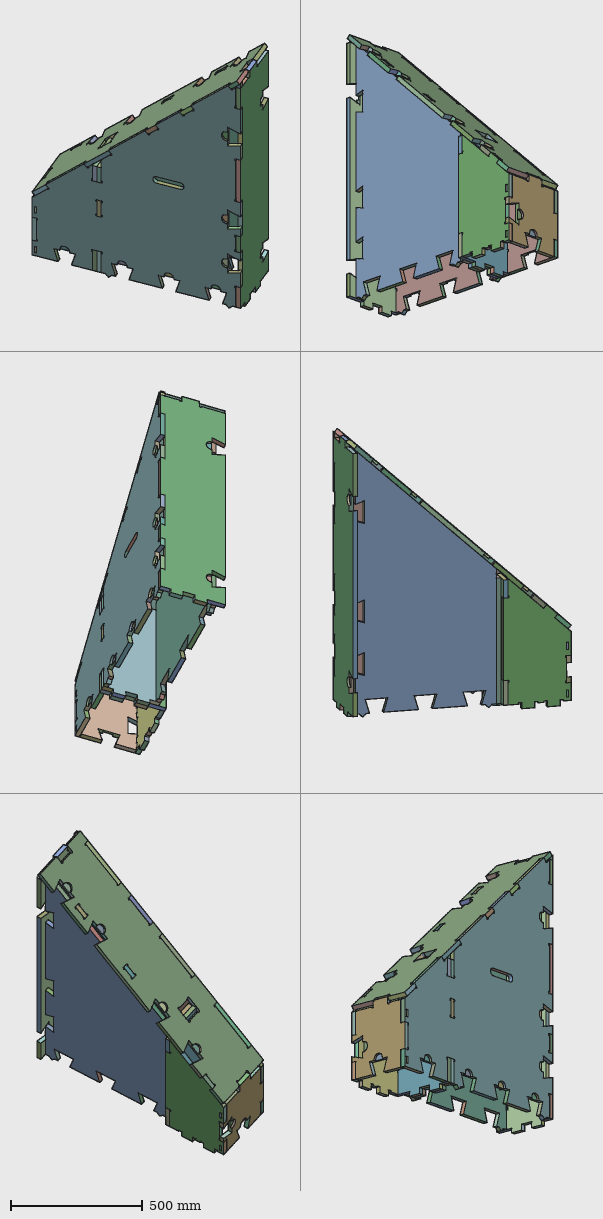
import cadquery as cq
import math

width = 868.0
depth = 268.0
height = 1087.0
sheet = 18.0
joint_gap = 2.0
relief_radius = 4.0
cut_reach = 54.0
base_z = sheet

low_z = 315.0
slope_run = 851.0
slope_rise = height - low_z
slope_length = math.hypot(slope_run, slope_rise)
cos_slope = slope_run / slope_length
sin_slope = slope_rise / slope_length
slope_drop = sheet / cos_slope
top_clearance = 4.0

small_divider_x = 251.0
large_divider_x = small_divider_x + sheet
dividers_end_x = large_divider_x + sheet
right_x = width - sheet
large_back_inset = 32.0
large_back_y = depth - large_back_inset - sheet
small_back_y = depth - sheet

dovetail_depth = 55.0
dovetail_mouth = 55.0
dovetail_root = 89.0
finger_radius = 21.0
finger_offset = 3.0
finger_pocket_depth = sheet / 2
front_bottom_dovetails = [136.0, 375.0, 570.0, 765.0]
front_right_dovetails = [214.0, 422.0, 813.0]
slope_dovetails = [225.0, 434.0, 824.0, 1033.0]
left_bottom_dovetail = 134.0
left_back_dovetail = 140.0
right_back_dovetails = [left_back_dovetail, 859.0]

left_joint = (89.0, 197.0)
left_pegs = [(34.0, 61.0), (221.0, 249.0)]
peg_x = 11.0
divider_low_top = 116.0
divider_high_start = 442.0
large_divider_joint = (281.0, 357.0)
right_joint = (518.0, 718.0)
right_high_start = 957.0
front_slope_tabs = [(76.0, 291.0), (430.0, 635.0), (693.0, 829.0), (892.0, 1100.0)]
small_back_slope_tab = (72.0, 132.0)
large_back_slope_tabs = [(599.0, 657.0), (899.0, 959.0)]
top_tab = (88.0, 159.0)
slope_low_notch = 17.0
slope_middle_slot = (321.0, 385.0)
slope_high_notch = 32.0

foot_width = 51.0
small_back_feet = [43.0, 145.0]
side_feet = [41.0, 141.0]
foot_relief_width = 13.0
foot_relief_height = 5.0
arrow_x = [319.0, 820.0]
arrow_half_width = 14.0
arrow_length = 13.0
handle_x = 568.0
handle_z = 523.0
handle_length = 129.0
handle_width = 30.0

X_DIR = cq.Vector(1, 0, 0)
Y_DIR = cq.Vector(0, 1, 0)
Z_DIR = cq.Vector(0, 0, 1)
SLOPE_DIR = cq.Vector(cos_slope, 0, sin_slope)
SLOPE_DOWN = cq.Vector(sin_slope, 0, -cos_slope)


def edge_frame(origin, along, inward):
    """Plane with x along a sheet's edge and y pointing into the sheet."""
    return cq.Plane(origin=origin, xDir=along, normal=along.cross(inward))


def block(x_range, y_range, z_range):
    corner = cq.Vector(x_range[0], y_range[0], z_range[0])
    return cq.Workplane("XY").box(
        x_range[1] - x_range[0], y_range[1] - y_range[0], z_range[1] - z_range[0], centered=False
    ).translate(corner)


def through_rect(frame, along_range, inward_range):
    """Rectangular cutter through the sheet."""
    length = along_range[1] - along_range[0]
    breadth = inward_range[1] - inward_range[0]
    return (
        cq.Workplane(frame)
        .center(sum(along_range) / 2, sum(inward_range) / 2)
        .rect(length, breadth)
        .extrude(cut_reach, both=True)
    )


def relieved_rect(frame, along_range, inward_range, relieved_sides):
    """Rectangular cutter with round cutter reliefs at the ends of its long sides."""
    points = []
    for side in relieved_sides:
        points.append((along_range[0] + relief_radius, side))
        points.append((along_range[1] - relief_radius, side))
    reliefs = cq.Workplane(frame).pushPoints(points).circle(relief_radius).extrude(cut_reach, both=True)
    return through_rect(frame, along_range, inward_range).union(reliefs)


def notch(frame, along_range, notch_depth):
    """Open notch in an edge, relieved along its floor."""
    return relieved_rect(frame, along_range, (-cut_reach, notch_depth), [notch_depth])


def slot(frame, along_range, inward_range):
    """Closed slot, relieved along both long sides."""
    return relieved_rect(frame, along_range, inward_range, inward_range)


def dovetail(frame, middle):
    """Opening that widens from the edge into the sheet."""
    return (
        cq.Workplane(frame)
        .center(middle, 0)
        .polyline([
            (-dovetail_mouth / 2, 0),
            (dovetail_mouth / 2, 0),
            (dovetail_root / 2, dovetail_depth),
            (-dovetail_root / 2, dovetail_depth),
        ])
        .close()
        .extrude(cut_reach, both=True)
    )


def finger_pocket(frame, middle):
    """Blind round pocket for a finger at the root of a dovetail, open to the outer face."""
    return (
        cq.Workplane(frame)
        .center(middle, dovetail_depth + finger_offset)
        .circle(finger_radius)
        .extrude(finger_pocket_depth, both=True)
    )


def slope_top_z(x):
    return low_z + x * slope_rise / slope_run


def slope_under_z(x):
    return slope_top_z(x) - slope_drop


def upright_panel(outline, y_start):
    """Sheet parallel to XZ, from y_start towards +Y."""
    return cq.Workplane("XZ", origin=(0, y_start, 0)).polyline(outline).close().extrude(-sheet)


def slope_tab(along_range, y_start):
    """Tab of an upright panel that fills a slot of the slope."""
    start, end = along_range
    frame = edge_frame((0, y_start, low_z), SLOPE_DIR, SLOPE_DOWN)
    return (
        cq.Workplane(frame)
        .center((start + end) / 2, sheet / 2)
        .rect(end - start, sheet)
        .extrude(sheet)
    )


def add_arrows(panel, y_start):
    for x in arrow_x:
        outline = [
            (x - arrow_half_width, base_z),
            (x + arrow_half_width, base_z),
            (x, base_z - arrow_length),
        ]
        panel = panel.union(upright_panel(outline, y_start))
    return panel


divider_top_z = slope_top_z(small_divider_x) - top_clearance
right_top_z = slope_top_z(right_x) - top_clearance


front_left_edge = edge_frame((0, 0, 0), Z_DIR, X_DIR)
front_right_edge = edge_frame((width, 0, 0), Z_DIR, -X_DIR)
front_top_edge = edge_frame((0, 0, low_z), SLOPE_DIR, SLOPE_DOWN)
bottom_edge = edge_frame((0, 0, base_z), X_DIR, Z_DIR)
back_panel_left_edge = edge_frame((0, depth, 0), Z_DIR, X_DIR)
back_panel_right_edge = edge_frame((width, depth, 0), Z_DIR, -X_DIR)
back_panel_bottom_edge = edge_frame((0, depth, base_z), X_DIR, Z_DIR)


def make_front():
    panel = upright_panel(
        [(0, base_z), (width, base_z), (width, slope_top_z(width)), (0, low_z)], 0
    )
    panel = add_arrows(panel, 0)

    starts = [-cut_reach] + [tab[1] for tab in front_slope_tabs]
    ends = [tab[0] for tab in front_slope_tabs] + [slope_length + cut_reach]
    for start, end in zip(starts, ends):
        panel = panel.cut(notch(front_top_edge, (start, end), sheet))

    panel = panel.cut(notch(front_left_edge, left_joint, sheet))
    for peg in left_pegs:
        panel = panel.cut(through_rect(front_left_edge, peg, (peg_x, sheet)))

    both_dividers = (small_divider_x, dividers_end_x)
    panel = panel.cut(slot(front_left_edge, (-cut_reach, divider_low_top), both_dividers))
    panel = panel.cut(slot(front_left_edge, (divider_high_start, height), both_dividers))
    panel = panel.cut(slot(front_left_edge, large_divider_joint, (large_divider_x, dividers_end_x)))

    right_joints = [
        (-cut_reach, divider_low_top),
        large_divider_joint,
        right_joint,
        (right_high_start, right_top_z - slope_drop),
    ]
    for joint in right_joints:
        panel = panel.cut(notch(front_right_edge, joint, sheet + joint_gap))

    for edge, middles in [(bottom_edge, front_bottom_dovetails), (front_right_edge, front_right_dovetails)]:
        for middle in middles:
            panel = panel.cut(dovetail(edge, middle)).cut(finger_pocket(edge, middle))

    handle = (
        cq.Workplane("XZ")
        .center(handle_x, handle_z)
        .slot2D(handle_length, handle_width)
        .extrude(cut_reach, both=True)
    )
    return panel.cut(handle)


def make_slope():
    surface = cq.Plane(origin=(0, 0, low_z), xDir=SLOPE_DIR, normal=-SLOPE_DOWN)
    panel = cq.Workplane(surface).rect(slope_length, depth, centered=False).extrude(-sheet)
    near_edge = edge_frame((0, 0, low_z), SLOPE_DIR, Y_DIR)
    far_edge = edge_frame((0, depth, low_z), SLOPE_DIR, -Y_DIR)
    low_edge = edge_frame((0, 0, low_z), Y_DIR, SLOPE_DIR)
    high_edge = edge_frame((slope_run, 0, height), Y_DIR, -SLOPE_DIR)

    for tab in front_slope_tabs:
        panel = panel.cut(notch(near_edge, tab, sheet))
    panel = panel.cut(notch(far_edge, small_back_slope_tab, sheet))
    for tab in large_back_slope_tabs:
        panel = panel.cut(slot(far_edge, tab, (large_back_inset, large_back_inset + sheet)))

    panel = panel.cut(notch(low_edge, top_tab, slope_low_notch))
    panel = panel.cut(slot(low_edge, top_tab, slope_middle_slot))
    panel = panel.cut(notch(high_edge, top_tab, slope_high_notch))

    for middle in slope_dovetails:
        panel = panel.cut(dovetail(far_edge, middle))
        panel = panel.cut(finger_pocket(far_edge, middle))
    return panel


def make_cross_sheet(x_start, y_end, top_z):
    """Sheet from X = x_start with a tab at its top that enters the slope."""
    panel = block((x_start, x_start + sheet), (0, y_end), (base_z, top_z))
    top_edge = edge_frame((x_start, 0, top_z), Y_DIR, -Z_DIR)
    for shoulder in [(-cut_reach, top_tab[0]), (top_tab[1], depth + cut_reach)]:
        panel = panel.cut(notch(top_edge, shoulder, slope_drop))
    return panel


def cut_end_joints(panel, x_start, gaps, end_y, joint_depth):
    """Cut back one end of a cross sheet where the panel it meets is solid."""
    inward = Y_DIR if end_y == 0 else -Y_DIR
    edge = edge_frame((x_start, end_y, 0), Z_DIR, inward)
    for gap in gaps:
        panel = panel.cut(through_rect(edge, gap, (-cut_reach, joint_depth)))
    return panel


def add_side_feet(panel, x_start):
    for start in side_feet:
        foot = block((x_start, x_start + sheet), (start, start + foot_width), (0, base_z))
        panel = panel.union(foot)
    between = block(
        (x_start, x_start + sheet),
        (side_feet[0] + foot_width, side_feet[1]),
        (base_z, base_z + foot_relief_height),
    )
    return panel.cut(between)


def make_left():
    panel = make_cross_sheet(0, depth, low_z)
    gaps = [(0, left_joint[0]), (left_joint[1], low_z - slope_drop)]
    for end_y in (0, depth):
        panel = cut_end_joints(panel, 0, gaps, end_y, sheet + joint_gap)
    for peg in left_pegs:
        for y_range in [(0, sheet + joint_gap), (depth - sheet - joint_gap, depth)]:
            panel = panel.union(block((peg_x, sheet), y_range, peg))

    left_bottom_edge = edge_frame((0, 0, base_z), Y_DIR, Z_DIR)
    left_back_edge = edge_frame((0, depth, 0), Z_DIR, -Y_DIR)
    for edge, middle in [(left_bottom_edge, left_bottom_dovetail), (left_back_edge, left_back_dovetail)]:
        panel = panel.cut(dovetail(edge, middle)).cut(finger_pocket(edge, middle))
    return panel


def make_small_divider():
    panel = make_cross_sheet(small_divider_x, depth, divider_top_z)
    gaps = [(divider_low_top, divider_high_start)]
    panel = cut_end_joints(panel, small_divider_x, gaps, 0, sheet)
    panel = cut_end_joints(panel, small_divider_x, gaps, depth, sheet + joint_gap)
    return add_side_feet(panel, small_divider_x)


def make_large_divider():
    panel = make_cross_sheet(large_divider_x, depth - large_back_inset, divider_top_z)
    gaps = [
        (divider_low_top, large_divider_joint[0]),
        (large_divider_joint[1], divider_high_start),
    ]
    panel = cut_end_joints(panel, large_divider_x, gaps, 0, sheet)
    return add_side_feet(panel, large_divider_x)


def make_right():
    panel = make_cross_sheet(right_x, depth, right_top_z)
    gaps = [
        (divider_low_top, large_divider_joint[0]),
        (large_divider_joint[1], right_joint[0]),
        (right_joint[1], right_high_start),
    ]
    panel = cut_end_joints(panel, right_x, gaps, 0, sheet)
    right_back_edge = edge_frame((width, depth, 0), Z_DIR, -Y_DIR)
    for middle in right_back_dovetails:
        panel = panel.cut(dovetail(right_back_edge, middle)).cut(finger_pocket(right_back_edge, middle))
    return add_side_feet(panel, right_x)


def make_small_back():
    end_x = large_divider_x
    panel = upright_panel(
        [(0, base_z), (end_x, base_z), (end_x, slope_under_z(end_x)), (0, slope_under_z(0))],
        small_back_y,
    )
    panel = panel.union(slope_tab(small_back_slope_tab, small_back_y))

    panel = panel.cut(notch(back_panel_left_edge, left_joint, sheet))
    for peg in left_pegs:
        panel = panel.cut(through_rect(back_panel_left_edge, peg, (peg_x, sheet)))
    for joint in [(-cut_reach, divider_low_top), (divider_high_start, height)]:
        panel = panel.cut(slot(back_panel_left_edge, joint, (small_divider_x, end_x)))

    for start in small_back_feet:
        end = start + foot_width
        for relief in [(start - foot_relief_width, start), (end, end + foot_relief_width)]:
            panel = panel.cut(through_rect(back_panel_bottom_edge, relief, (-cut_reach, foot_relief_height)))
        panel = panel.union(block((start, end), (small_back_y, depth), (0, base_z)))
    return panel


def make_large_back():
    start_x = dividers_end_x
    panel = upright_panel(
        [
            (start_x, base_z),
            (right_x, base_z),
            (right_x, slope_under_z(right_x)),
            (start_x, slope_under_z(start_x)),
        ],
        large_back_y,
    )
    for tab in large_back_slope_tabs:
        panel = panel.union(slope_tab(tab, large_back_y))
    panel = add_arrows(panel, large_back_y)

    for middle in front_bottom_dovetails[1:]:
        panel = panel.cut(dovetail(back_panel_bottom_edge, middle))
    for middle in front_right_dovetails:
        panel = panel.cut(dovetail(back_panel_right_edge, middle))
    return panel


front = make_front()
slope = make_slope()
left = make_left()
small_divider = make_small_divider()
large_divider = make_large_divider()
right = make_right()
small_back = make_small_back()
large_back = make_large_back()

result = cq.Compound.makeCompound([
    front.val(),
    slope.val(),
    left.val(),
    small_divider.val(),
    large_divider.val(),
    right.val(),
    small_back.val(),
    large_back.val(),
])